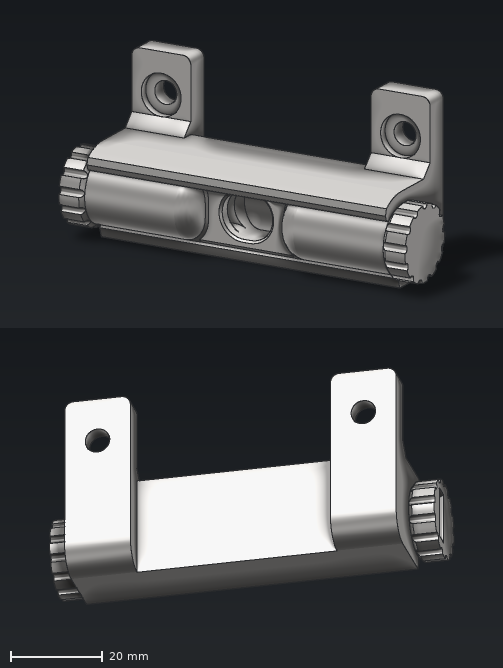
import cadquery as cq
import math


total_length = 87.0
knob_length = 6.0
half_length = total_length / 2
half_housing = half_length - knob_length
housing_length = 2 * half_housing

roller_radius = 8.0
knob_radius = 9.0
knob_chamfer = knob_radius - roller_radius
flute_count = 13
flute_diameter = 1.8

wall_radius = 11.05
mouth_chamfer = 1.0
back_y = 19.05
plate_thickness = 6.0
plate_front_y = back_y - plate_thickness
plate_top_z = 29.0
plate_bottom_radius = plate_thickness
gusset_size = 3.0
lip_top_y = -6.5
lip_top_z = math.sqrt(wall_radius**2 - lip_top_y**2)
lip_tip_y = -7.0
lip_tip_z = 7.3
sill_y = -0.5

lug_width = 14.9
lug_corner_radius = 2.0
screw_hole_diameter = 5.5
counterbore_diameter = 10.0
counterbore_depth = 2.0
screw_hole_drop = 10.0
screw_hole_z = plate_top_z - screw_hole_drop

window_half_length = 15.0
dome_radius = 5.0
flat_y = -2.4
edge_chamfer = 0.5

hole_radius = 5.5
hole_arc_spacing = 1.7
hole_length = hole_arc_spacing + 2 * hole_radius

passage_front_y = 0.35
passage_width = 3.1
passage_height = 8.35
passage_flare_radius = 5.0
slot_width = 3.65
slot_height = 11.6
slot_depth = 4.0

pick_margin = 0.1


def make_housing_body():
    """Beam in front of the lug plates, rounded at the top and cut off by the slanted mouth."""
    half_angle = math.atan2(-lip_top_y, lip_top_z) / 2
    arc_middle = (-wall_radius * math.sin(half_angle), wall_radius * math.cos(half_angle))
    return (
        cq.Workplane("YZ", origin=(-half_housing, 0, 0))
        .moveTo(plate_front_y, -wall_radius)
        .lineTo(plate_front_y, wall_radius)
        .lineTo(0, wall_radius)
        .threePointArc(arc_middle, (lip_top_y, lip_top_z))
        .lineTo(lip_tip_y, lip_tip_z)
        .lineTo(sill_y, -wall_radius)
        .close()
        .extrude(housing_length)
    )


def make_lug(center_x):
    """Full-height plate with a gusset, rounded top corners and a counterbored screw hole."""
    plate = (
        cq.Workplane("YZ", origin=(center_x - lug_width / 2, 0, 0))
        .moveTo(back_y, plate_top_z)
        .lineTo(plate_front_y, plate_top_z)
        .lineTo(plate_front_y, wall_radius + gusset_size)
        .lineTo(plate_front_y - gusset_size, wall_radius)
        .lineTo(plate_front_y, -wall_radius)
        .radiusArc((back_y, plate_bottom_radius - wall_radius), -plate_bottom_radius)
        .close()
        .extrude(lug_width)
    )
    plate = plate.edges("|Y and >Z").fillet(lug_corner_radius)
    front = cq.Workplane("XZ", origin=(center_x, plate_front_y, screw_hole_z))
    screw_hole = front.circle(screw_hole_diameter / 2).extrude(-plate_thickness)
    counterbore = front.circle(counterbore_diameter / 2).extrude(-counterbore_depth)
    return plate.cut(screw_hole).cut(counterbore)


def make_housing():
    """Beam with two lugs and a bore that fits the roller, chamfered along its mouth."""
    housing = make_housing_body()
    for side in (-1, 1):
        housing = housing.union(make_lug(side * (half_housing - lug_width / 2)))
    bore = (
        cq.Workplane("YZ", origin=(-half_housing, 0, 0))
        .circle(roller_radius)
        .extrude(housing_length)
    )
    housing = housing.cut(bore)
    reach = roller_radius + pick_margin
    mouth = cq.selectors.BoxSelector((-0.9, lip_top_y, -reach), (0.9, 0, reach))
    return housing.edges("|X").edges(mouth).chamfer(mouth_chamfer)


def make_roller_blank():
    """Round bar with a chamfered knob at each end."""
    return (
        cq.Workplane("XY")
        .moveTo(-half_length, 0)
        .lineTo(-half_length, knob_radius)
        .lineTo(-half_housing - knob_chamfer, knob_radius)
        .lineTo(-half_housing, roller_radius)
        .lineTo(half_housing, roller_radius)
        .lineTo(half_housing + knob_chamfer, knob_radius)
        .lineTo(half_length, knob_radius)
        .lineTo(half_length, 0)
        .close()
        .revolve(360, (0, 0, 0), (1, 0, 0))
    )


def make_flutes(start_x):
    """Grip flutes of one knob, the first of them at the top."""
    return (
        cq.Workplane("YZ", origin=(start_x, 0, 0))
        .polarArray(knob_radius, 90, 360, flute_count)
        .circle(flute_diameter / 2)
        .extrude(knob_length)
    )


def make_window():
    """Space in front of the flat, between two domed roller ends with chamfered feet."""
    margin = 2 * window_half_length
    solid_behind = (
        cq.Workplane("XY")
        .box(2 * margin, roller_radius, 2 * margin)
        .translate((0, flat_y + roller_radius / 2, 0))
    )
    for side in (-1, 1):
        end_x = side * window_half_length
        face_x = side * (window_half_length - dome_radius)
        domed_end = (
            cq.Workplane("XY")
            .moveTo(side * margin, 0)
            .lineTo(side * margin, roller_radius)
            .lineTo(end_x, roller_radius)
            .radiusArc((face_x, roller_radius - dome_radius), -side * dome_radius)
            .lineTo(face_x, 0)
            .close()
            .revolve(360, (0, 0, 0), (1, 0, 0))
        )
        solid_behind = solid_behind.union(domed_end)
    feet = cq.selectors.BoxSelector(
        (-margin + 0.9, flat_y - pick_margin, -knob_radius),
        (margin - 0.9, flat_y + pick_margin, knob_radius),
    )
    solid_behind = solid_behind.edges(feet).chamfer(edge_chamfer)
    return (
        cq.Workplane("XY")
        .box(2 * window_half_length, roller_radius, 2 * knob_radius)
        .translate((0, flat_y - roller_radius / 2, 0))
        .cut(solid_behind)
    )


def make_oblong_hole():
    """Oblong hole across the whole roller."""
    return (
        cq.Workplane("XZ", origin=(0, knob_radius, 0))
        .slot2D(hole_length, 2 * hole_radius)
        .extrude(2 * knob_radius)
    )


def make_passage():
    """Flat passage from the left slot to the right knob, flared where it meets the oblong hole."""
    half_height = passage_height / 2
    reach = hole_radius + passage_flare_radius
    angle = math.acos((half_height + passage_flare_radius) / reach)
    mouth_x = hole_arc_spacing / 2 + hole_radius * math.sin(angle)
    mouth_z = hole_radius * math.cos(angle)
    throat_x = hole_arc_spacing / 2 + reach * math.sin(angle)
    start_x = -half_length + slot_depth
    return (
        cq.Workplane("XZ", origin=(0, passage_front_y, 0))
        .moveTo(start_x, half_height)
        .lineTo(-throat_x, half_height)
        .radiusArc((-mouth_x, mouth_z), -passage_flare_radius)
        .lineTo(mouth_x, mouth_z)
        .radiusArc((throat_x, half_height), -passage_flare_radius)
        .lineTo(half_housing, half_height)
        .lineTo(half_housing, -half_height)
        .lineTo(throat_x, -half_height)
        .radiusArc((mouth_x, -mouth_z), -passage_flare_radius)
        .lineTo(-mouth_x, -mouth_z)
        .radiusArc((-throat_x, -half_height), -passage_flare_radius)
        .lineTo(start_x, -half_height)
        .close()
        .extrude(-passage_width)
    )


def make_slot():
    """Slot in the left knob that narrows to the height of the passage."""
    return (
        cq.Workplane("XZ", origin=(0, passage_front_y, 0))
        .moveTo(-half_length, slot_height / 2)
        .lineTo(-half_length + slot_depth, passage_height / 2)
        .lineTo(-half_length + slot_depth, -passage_height / 2)
        .lineTo(-half_length, -slot_height / 2)
        .close()
        .extrude(-slot_width)
    )


def make_roller():
    """Fluted roller with its window, oblong hole, passage and slot."""
    roller = make_roller_blank()
    for start_x in (-half_length, half_housing):
        roller = roller.cut(make_flutes(start_x))
    roller = roller.cut(make_window())
    flat_edges = cq.selectors.BoxSelector(
        (-window_half_length, flat_y - pick_margin, -roller_radius),
        (window_half_length, flat_y + pick_margin, roller_radius),
    )
    roller = roller.edges("|X").edges(flat_edges).chamfer(edge_chamfer)
    roller = roller.cut(make_oblong_hole())
    rim = cq.selectors.BoxSelector(
        (-hole_length / 2 - 0.9, flat_y - pick_margin, -hole_radius - pick_margin),
        (hole_length / 2 + 0.9, flat_y + pick_margin, hole_radius + pick_margin),
    )
    roller = roller.edges(rim).chamfer(edge_chamfer)
    return roller.cut(make_passage()).cut(make_slot())


housing = make_housing()
roller = make_roller()
result = cq.Compound.makeCompound([housing.val(), roller.val()])